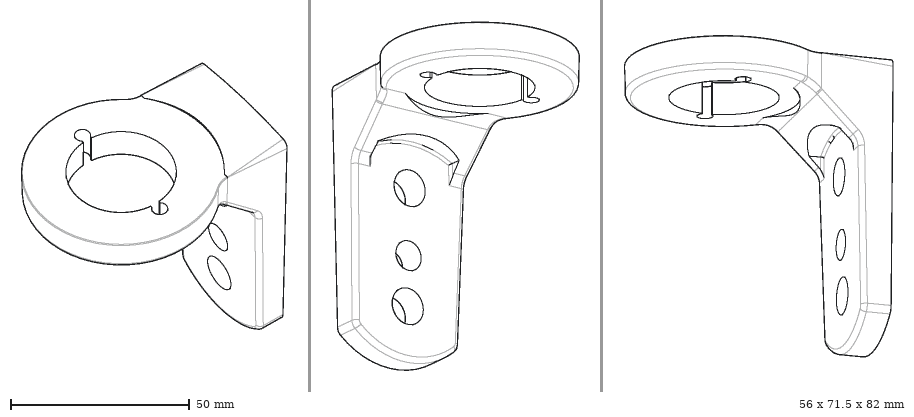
import cadquery as cq
import math

ring_radius = 28.0
ring_height = 9.4
bore_radius = 15.5
draft_angle = 1.5
draft_slope = math.tan(math.radians(draft_angle))
rim_fillet = 1.5
top_rim_fillet = 0.25

key_centre = 17.75
key_radius = 2.25
key_neck_width = 2.9

back_y = 43.5
arm_half_width = 19.9
arm_fillet = 7.0
neck_x = arm_half_width + arm_fillet
neck_y = math.sqrt((ring_radius + arm_fillet) ** 2 - neck_x**2)
foot_z = -80.4
foot_thickness = 8.3
foot_radius = 26.0
foot_corner_fillet = 3.0

gusset_end_y = 19.3
gusset_plate_fillet = 5.0
gusset_ring_fillet = 8.0

crown_rise = 1.6
crown_edge_rise = 0.45
crown_corner_width = 1.8
crown_corner_drop = 2.0
crown_base_z = -3.0
crown_end_y = neck_y
crown_end_scale = 0.02
seat_radius = 29.0

arch_top_z = -15.9
arch_shoulder_z = -19.4
arch_shoulder_half_width = 13.9
arch_foot_z = -26.5
arch_foot_half_width = 14.4
arch_depth = 20.0
arch_floor_fillet = 0.8
ring_relief_radius = 21.4

mounting_holes = [(-29.4, 10.7), (-49.4, 8.7), (-64.4, 10.7)]

spare = 5.0


def half_width(z):
    """Half width of the drafted plate at height z."""
    return arm_half_width + z * draft_slope


def front_y(z):
    """Y of the drafted plate front at height z."""
    return back_y - foot_thickness - (z - foot_z) * draft_slope


def make_drafted_plan():
    """Ring and arm outline with blended necks, drawn inwards as it goes down."""
    ring_share = ring_radius / (ring_radius + arm_fillet)
    ring_x = neck_x * ring_share
    ring_y = neck_y * ring_share
    middle_angle = (math.pi + math.atan2(neck_y, neck_x) + math.pi) / 2
    middle_x = neck_x + arm_fillet * math.cos(middle_angle)
    middle_y = neck_y + arm_fillet * math.sin(middle_angle)
    rear_y = back_y + spare
    return (
        cq.Workplane("XY")
        .moveTo(arm_half_width, rear_y)
        .lineTo(arm_half_width, neck_y)
        .threePointArc((middle_x, middle_y), (ring_x, ring_y))
        .threePointArc((0, -ring_radius), (-ring_x, ring_y))
        .threePointArc((-middle_x, middle_y), (-arm_half_width, neck_y))
        .lineTo(-arm_half_width, rear_y)
        .close()
        .extrude(foot_z - spare, taper=draft_angle)
    )


def make_side_profile():
    """Plate, gusset and ring thickness as seen from the side, wider than the part."""
    front_end_y = -ring_radius - spare
    knee_z = (gusset_end_y - ring_height - front_y(0)) / (1 - draft_slope)
    profile = (
        cq.Workplane("YZ")
        .polyline(
            [
                (back_y, 0),
                (front_end_y, 0),
                (front_end_y, -ring_height),
                (gusset_end_y, -ring_height),
                (front_y(knee_z), knee_z),
                (front_y(foot_z), foot_z),
                (back_y, foot_z),
            ]
        )
        .close()
        .extrude(ring_radius + spare, both=True)
    )
    plate_edge = cq.NearestToPointSelector((0, front_y(knee_z), knee_z))
    ring_edge = cq.NearestToPointSelector((0, gusset_end_y, -ring_height))
    profile = profile.edges(plate_edge).fillet(gusset_plate_fillet)
    return profile.edges(ring_edge).fillet(gusset_ring_fillet)


def make_foot_outline():
    """Round foot as seen from the front, through the full depth."""
    wide_x = ring_radius + spare
    side_z = foot_z + foot_radius
    return (
        cq.Workplane("XZ", origin=(0, back_y + spare, 0))
        .moveTo(-wide_x, spare)
        .lineTo(-wide_x, side_z)
        .lineTo(-foot_radius, side_z)
        .threePointArc((0, foot_z), (foot_radius, side_z))
        .lineTo(wide_x, side_z)
        .lineTo(wide_x, spare)
        .close()
        .extrude(back_y + ring_radius + 2 * spare)
    )


def make_body():
    """Solid arm, plate and ring with rounded foot corners and rims."""
    solid = make_drafted_plan().intersect(make_foot_outline())
    corner_z = foot_z + foot_radius - math.sqrt(foot_radius**2 - half_width(foot_z) ** 2)
    for side in (-1, 1):
        corner_x = side * half_width(corner_z)
        foot_corner = cq.NearestToPointSelector((corner_x, back_y - foot_thickness, corner_z))
        solid = solid.edges(foot_corner).fillet(foot_corner_fillet)
    body = solid.intersect(make_side_profile())
    lower_rim = cq.NearestToPointSelector((0, -ring_radius, -ring_height))
    body = body.edges(lower_rim).fillet(rim_fillet)
    ring_arc = cq.selectors.RadiusNthSelector(-1)
    return body.faces(">Z").edges("%CIRCLE").edges(ring_arc).fillet(top_rim_fillet)


def crown_section(y, scale):
    """Cross-section of the arm top at y; scale 1 is the full crown, near 0 is flat."""
    drop = scale * crown_corner_drop
    corner_width = scale * crown_corner_width
    edge_rise = scale * crown_edge_rise
    side_x = half_width(-drop)
    top_x = arm_half_width - corner_width
    base_x = half_width(crown_base_z)
    bulge = 1 - math.sqrt(0.5)
    corner_x = arm_half_width - bulge * corner_width
    corner_z = edge_rise - bulge * (edge_rise + drop)
    return (
        cq.Workplane("XZ", origin=(0, y, 0))
        .moveTo(-base_x, crown_base_z)
        .lineTo(-side_x, -drop)
        .threePointArc((-corner_x, corner_z), (-top_x, edge_rise))
        .threePointArc((0, scale * crown_rise), (top_x, edge_rise))
        .threePointArc((corner_x, corner_z), (side_x, -drop))
        .lineTo(base_x, crown_base_z)
        .close()
        .wires()
        .val()
    )


def add_crown(body):
    """Replace the flat arm top behind the ring with the crown and cut the ring's seat in it."""
    flat_top = cq.Workplane("XY", origin=(0, crown_end_y, crown_base_z)).box(
        2 * ring_radius, back_y, spare, centered=(True, False, False)
    )
    sections = [crown_section(back_y, 1), crown_section(crown_end_y, crown_end_scale)]
    crown = cq.Workplane(cq.Solid.makeLoft(sections, True))
    seat = cq.Workplane("XY").circle(seat_radius).extrude(spare)
    return body.cut(flat_top).union(crown.cut(seat))


def cut_arch_relief(body):
    """Cut an arch down to the plate front, leaving a rounded cove where its wall meets the floor."""
    plate_front = cq.Plane(origin=(0, front_y(0), 0), xDir=(1, 0, 0), normal=(0, -1, -draft_slope))
    arch = (
        cq.Workplane(plate_front)
        .moveTo(-arch_foot_half_width, arch_foot_z)
        .lineTo(-arch_shoulder_half_width, arch_shoulder_z)
        .threePointArc((0, arch_top_z), (arch_shoulder_half_width, arch_shoulder_z))
        .lineTo(arch_foot_half_width, arch_foot_z)
        .close()
        .extrude(arch_depth)
    )
    cove = arch.cut(arch.faces(">Y").edges("not <Z").fillet(arch_floor_fillet))
    return body.cut(arch).union(body.intersect(cove))


def make_ring_relief():
    """Round clearance below the ring, around the bore axis."""
    return cq.Workplane("XY", origin=(0, 0, -ring_height)).circle(ring_relief_radius).extrude(foot_z)


def make_bore():
    """Bore with a key hole and neck on each side, through the ring."""
    bottom = cq.Workplane("XY", origin=(0, 0, -ring_height - spare))
    height = ring_height + 2 * spare
    bore = bottom.circle(bore_radius).extrude(height)
    keys = bottom.pushPoints([(-key_centre, 0), (key_centre, 0)]).circle(key_radius).extrude(height)
    necks = bottom.rect(2 * key_centre, key_neck_width).extrude(height)
    return bore.union(keys).union(necks)


def make_mounting_hole(z, diameter):
    """Straight hole through the plate at height z."""
    return cq.Workplane("XZ", origin=(0, back_y + spare, z)).circle(diameter / 2).extrude(back_y)


result = cut_arch_relief(add_crown(make_body()))
result = result.cut(make_ring_relief()).cut(make_bore())
for hole_z, hole_diameter in mounting_holes:
    result = result.cut(make_mounting_hole(hole_z, hole_diameter))